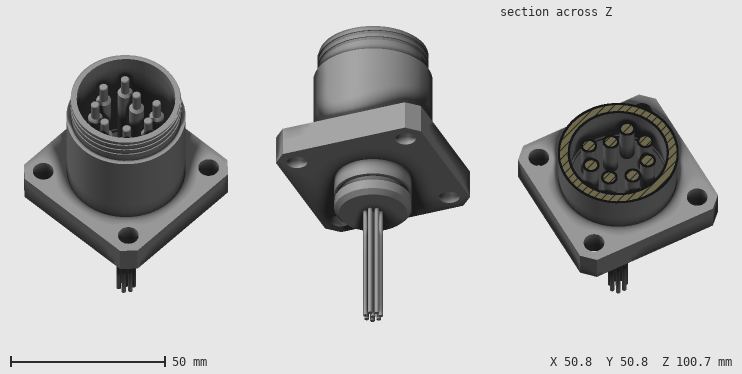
import cadquery as cq
import math

total_height = 100.7
gland_bottom = 40.0
flange_bottom = 52.7
flange_thickness = 9.8
flange_top = flange_bottom + flange_thickness
collar_height = 9.8
shoulder_height = total_height - collar_height

flange_width = 50.8
flange_corner_chamfer = 4.0
mounting_hole_diameter = 6.7
mounting_hole_spacing = 38.0

shell_diameter = 38.8
collar_diameter = 36.0
socket_diameter = 32.0
socket_floor_diameter = 31.0
socket_floor = flange_top
socket_step = 1.0

thread_pitch = 2.4
thread_groove_width = 1.2
thread_groove_depth = 0.35
thread_length = 7.5
thread_start_angle = 172.0
thread_overrun = 1.0

gland_diameter = 25.2
gland_groove_diameter = 22.5
gland_groove_bottom = 44.8
gland_groove_width = 2.3
gland_chamfer = 1.5

pin_count = 8
pin_circle_radius = 10.0
key_pin_radius = 5.0
pin_tip_height = 98.0
pin_tip_chamfer = 0.3
pin_diameter = 2.8
pin_base_diameter = 4.8
pin_base_top = 90.7
pin_cone_height = 0.8

wire_diameter = 1.5
outer_wire_count = 7
wire_circle_radius = 2.5


def cylinder(diameter, bottom, top):
    """Upright cylinder on the part axis between two heights."""
    return cq.Workplane("XY").workplane(offset=bottom).circle(diameter / 2).extrude(top - bottom)


def make_flange():
    plate = (
        cq.Workplane("XY")
        .workplane(offset=flange_bottom)
        .rect(flange_width, flange_width)
        .extrude(flange_thickness)
        .edges("|Z")
        .chamfer(flange_corner_chamfer)
    )
    return (
        plate.faces(">Z")
        .workplane()
        .rect(mounting_hole_spacing, mounting_hole_spacing, forConstruction=True)
        .vertices()
        .hole(mounting_hole_diameter)
    )


def make_thread_groove():
    """Rectangular profile swept along a helix that ends above the rim.

    Half of the profile lies outside the collar.
    """
    radius = collar_diameter / 2
    start_height = total_height - thread_length + thread_groove_width / 2
    helix_height = thread_length + thread_overrun
    helix = cq.Wire.makeHelix(thread_pitch, helix_height, radius)
    groove = (
        cq.Workplane("XZ", origin=(radius, 0, 0))
        .rect(2 * thread_groove_depth, thread_groove_width)
        .sweep(cq.Workplane(helix), isFrenet=True)
    )
    return groove.rotate((0, 0, 0), (0, 0, 1), thread_start_angle).translate((0, 0, start_height))


def make_collar():
    """Collar cut overlong so that the whole groove fits, then trimmed flush with the rim."""
    overlong_top = total_height + thread_overrun + 2 * thread_groove_width
    collar = cylinder(collar_diameter, shoulder_height, overlong_top).cut(make_thread_groove())
    return collar.cut(cylinder(shell_diameter, total_height, overlong_top))


def make_shell():
    return cylinder(shell_diameter, flange_top, shoulder_height).union(make_collar())


def make_socket():
    """Stepped bore that is slightly narrower just above its floor."""
    step_height = socket_floor + socket_step
    socket = cylinder(socket_floor_diameter, socket_floor, step_height)
    return socket.union(cylinder(socket_diameter, step_height, total_height))


def make_gland():
    gland = cylinder(gland_diameter, gland_bottom, flange_bottom).faces("<Z").chamfer(gland_chamfer)
    groove_top = gland_groove_bottom + gland_groove_width
    groove = cylinder(gland_diameter, gland_groove_bottom, groove_top)
    groove = groove.cut(cylinder(gland_groove_diameter, gland_groove_bottom, groove_top))
    return gland.cut(groove)


def make_pin():
    """Stepped contact pin with a conical shoulder and a chamfered tip."""
    radius = pin_diameter / 2
    base_radius = pin_base_diameter / 2
    profile = [
        (0, socket_floor),
        (base_radius, socket_floor),
        (base_radius, pin_base_top),
        (radius, pin_base_top + pin_cone_height),
        (radius, pin_tip_height - pin_tip_chamfer),
        (radius - pin_tip_chamfer, pin_tip_height),
        (0, pin_tip_height),
    ]
    return cq.Workplane("XZ").polyline(profile).close().revolve(360, (0, 0), (0, 1))


def add_pins(body):
    """Pin 1 stands on the +Y axis."""
    pin = make_pin()
    for index in range(pin_count):
        angle = math.radians(90 - index * 360 / pin_count)
        radius = key_pin_radius if index == 0 else pin_circle_radius
        body = body.union(pin.translate((radius * math.cos(angle), radius * math.sin(angle), 0)))
    return body


def add_wires(body):
    wire = cylinder(wire_diameter, 0, gland_bottom)
    body = body.union(wire)
    for index in range(outer_wire_count):
        angle = 360 / outer_wire_count * index
        outer_wire = wire.translate((0, wire_circle_radius, 0))
        body = body.union(outer_wire.rotate((0, 0, 0), (0, 0, 1), angle))
    return body


housing = make_flange().union(make_shell()).union(make_gland()).cut(make_socket())
result = add_wires(add_pins(housing))